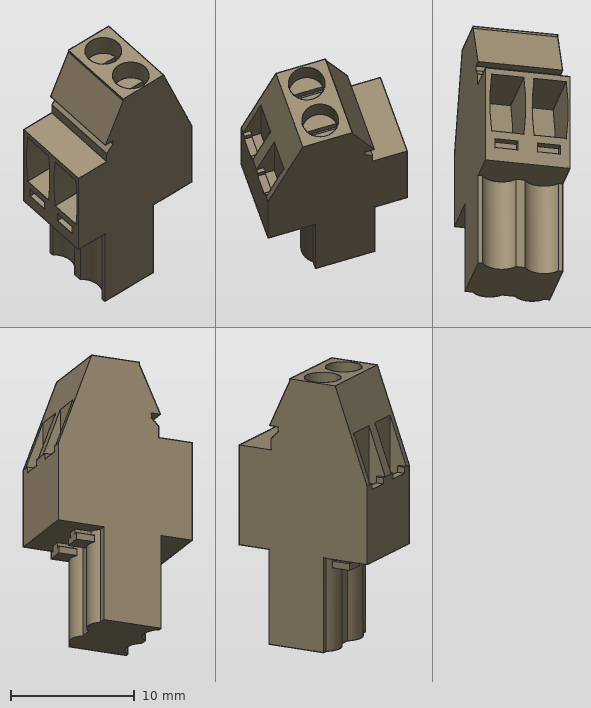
import cadquery as cq


pole_count = 2
pole_pitch = 3.5
width = pole_count * pole_pitch
pole_centers = [pole_pitch * (i + 0.5) for i in range(pole_count)]
axis_shift = 0.1
axis_centers = [x + axis_shift for x in pole_centers]

depth = 11.83
height = 22.6
body_bottom = 7.98
shelf_top = 16.38
neck_front = 2.94
neck_top = 17.33
groove_floor = 3.6
groove_bend = groove_floor - neck_front + neck_top
groove_top = 18.4
lip_front = 2.8
top_front = 4.66
top_edge_height = 0.2
top_back = 8.88
back_slope_bottom = 14.6

shank_front = 2.75
shank_back = 7.8
lobe_width = 2.4
lobe_rise = 0.58
scallop_width = 2.76
scallop_depth = 0.74

tab_neck_width = 0.9
tab_head_width = 1.6
tab_back = 9.75
tab_neck_height = 0.43
tab_head_height = 0.57
socket_neck_width = 1.87
socket_head_width = 2.52
socket_head_front = depth - 1.51
socket_neck_front = depth - 0.65
socket_step = 0.5

wire_entry_bottom = 10.69
wire_entry_top = 15.87
wire_entry_end_width = 2.66
wire_entry_mid_width = 2.97
wire_entry_depth = 5.0
test_slot_width = 1.88
test_slot_bottom = 9.2
test_slot_height = 0.8
test_slot_depth = 0.6

screw_diameter = 2.95
screw_y = 6.8
screw_recess = 1.86
screw_length = 2.0
screw_slot_width = 0.42
screw_slot_depth = 0.6


def block(x_center, x_size, y_range, z_range):
    """Box centred on x_center that spans the given Y and Z ranges."""
    y_low, y_high = y_range
    z_low, z_high = z_range
    return (
        cq.Workplane("XY")
        .box(x_size, y_high - y_low, z_high - z_low, centered=(True, False, False))
        .translate((x_center, y_low, z_low))
    )


def make_body():
    """Upper housing, extruded across its width from the side outline."""
    outline = [
        (0, body_bottom),
        (0, shelf_top),
        (neck_front, shelf_top),
        (neck_front, neck_top),
        (groove_floor, groove_bend),
        (groove_floor, groove_top),
        (lip_front, groove_top),
        (top_front, height - top_edge_height),
        (top_front, height),
        (top_back, height),
        (depth, back_slope_bottom),
        (depth, body_bottom),
    ]
    return cq.Workplane("YZ").polyline(outline).close().extrude(width)


def make_shank():
    """Plug shank with a convex lobe behind each pole and a concave scallop in front."""
    profile = cq.Workplane("XY").moveTo(0, shank_back).lineTo(0, shank_front)
    for x in pole_centers:
        profile = (
            profile.lineTo(x - scallop_width / 2, shank_front)
            .threePointArc((x, shank_front + scallop_depth), (x + scallop_width / 2, shank_front))
        )
    profile = profile.lineTo(width, shank_front).lineTo(width, shank_back)
    for x in reversed(axis_centers):
        profile = (
            profile.lineTo(x + lobe_width / 2, shank_back)
            .threePointArc((x, shank_back + lobe_rise), (x - lobe_width / 2, shank_back))
        )
    profile = profile.lineTo(0, shank_back)
    return profile.close().extrude(body_bottom)


def make_coding_tab(x):
    """Tab hanging from the body behind the shank: a narrow neck above a wider head."""
    neck_bottom = body_bottom - tab_neck_height
    y_range = (shank_back, tab_back)
    neck = block(x, tab_neck_width, y_range, (neck_bottom, body_bottom))
    head = block(x, tab_head_width, y_range, (neck_bottom - tab_head_height, neck_bottom))
    return neck.union(head)


def make_coding_socket(x):
    """T-shaped socket cut down from the sloped back: a ledge, a lower neck and the lowest head."""
    ledge_floor = back_slope_bottom
    neck_floor = ledge_floor - socket_step
    head_floor = neck_floor - socket_step
    ledge = block(x, socket_head_width, (socket_head_front, depth), (ledge_floor, height))
    neck = block(x, socket_neck_width, (socket_neck_front, depth), (neck_floor, height))
    head = block(x, socket_head_width, (socket_head_front, socket_neck_front), (head_floor, height))
    return ledge.union(neck).union(head)


def make_wire_entry(x):
    """Wire entry pocket with flat ends and bowed sides."""
    half_end = wire_entry_end_width / 2
    half_mid = wire_entry_mid_width / 2
    middle = (wire_entry_bottom + wire_entry_top) / 2
    return (
        cq.Workplane("XZ")
        .moveTo(x - half_end, wire_entry_bottom)
        .lineTo(x + half_end, wire_entry_bottom)
        .threePointArc((x + half_mid, middle), (x + half_end, wire_entry_top))
        .lineTo(x - half_end, wire_entry_top)
        .threePointArc((x - half_mid, middle), (x - half_end, wire_entry_bottom))
        .close()
        .extrude(-wire_entry_depth)
    )


def make_test_slot(x):
    """Shallow rectangular slot below the wire entry."""
    z_range = (test_slot_bottom, test_slot_bottom + test_slot_height)
    return block(x, test_slot_width, (0, test_slot_depth), z_range)


def make_screw_cylinder(x, length):
    """Cylinder on a screw axis, from the given length below the screw face up to that face."""
    face = height - screw_recess
    return (
        cq.Workplane("XY", origin=(x, screw_y, face - length))
        .circle(screw_diameter / 2)
        .extrude(length)
    )


def make_screw_hole(x):
    """Blind hole from the top that seats a screw below its rim."""
    return make_screw_cylinder(x, screw_length).union(
        make_screw_cylinder(x, screw_recess).translate((0, 0, screw_recess))
    )


def make_screw(x):
    """Clamping screw with a straight driver slot along Y."""
    face = height - screw_recess
    radius = screw_diameter / 2
    slot = block(
        x,
        screw_slot_width,
        (screw_y - radius, screw_y + radius),
        (face - screw_slot_depth, face),
    )
    return make_screw_cylinder(x, screw_length).cut(slot)


def make_housing():
    """Housing with all its tabs, sockets, openings and screw holes."""
    housing = make_body().union(make_shank())
    for x in pole_centers:
        housing = housing.cut(make_coding_socket(x))
        housing = housing.cut(make_test_slot(x))
    for x in axis_centers:
        housing = housing.union(make_coding_tab(x))
        housing = housing.cut(make_wire_entry(x))
        housing = housing.cut(make_screw_hole(x))
    return housing


housing = make_housing()
screws = [make_screw(x) for x in axis_centers]
result = cq.Compound.makeCompound([housing.val(), *[screw.val() for screw in screws]])